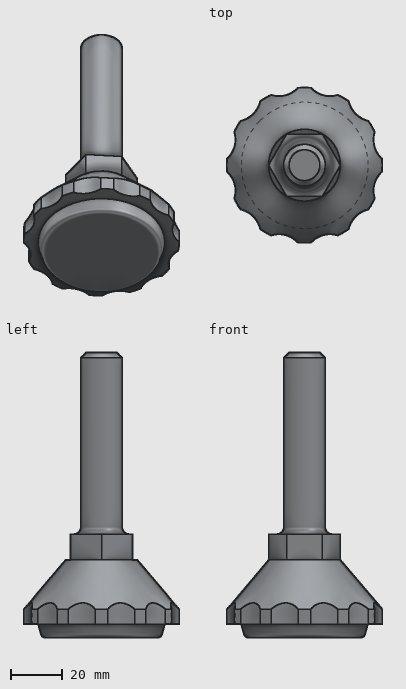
import cadquery as cq
import math

TOTAL_HEIGHT = 110.0
PAD_HEIGHT = 5.3
RIM_HEIGHT = 5.8
BASE_TOP = 30.0
HEX_HEIGHT = 10.0

PAD_TOP_RADIUS = 24.4
PAD_TAPER_ANGLE = 15.0
PAD_BOTTOM_FILLET = 2.2

BASE_DIAMETER = 60.0
SCALLOP_COUNT = 12
SCALLOP_RADIUS = 10.0
SCALLOP_CENTRE_RADIUS = 38.0

HEX_ACROSS_FLATS = 24.0
STUD_DIAMETER = 16.1
STUD_FILLET = 2.5
STUD_TIP_CHAMFER = 2.1

RIM_TOP = PAD_HEIGHT + RIM_HEIGHT
HEX_TOP = BASE_TOP + HEX_HEIGHT
HEX_CORNER_DIAMETER = HEX_ACROSS_FLATS / math.cos(math.radians(30))
PAD_BOTTOM_RADIUS = PAD_TOP_RADIUS - PAD_HEIGHT * math.tan(math.radians(PAD_TAPER_ANGLE))


def make_pad():
    """Disc narrowing towards the floor, with a rounded lower edge."""
    profile = [
        (0, 0),
        (PAD_BOTTOM_RADIUS, 0),
        (PAD_TOP_RADIUS, PAD_HEIGHT),
        (0, PAD_HEIGHT),
    ]
    pad = cq.Workplane("XZ").polyline(profile).close().revolve(360, (0, 0), (0, 1))
    return pad.faces("<Z").edges().fillet(PAD_BOTTOM_FILLET)


def make_base():
    """Cone on a cylindrical rim; its flat top just holds the corners of the hexagon."""
    rim_radius = BASE_DIAMETER / 2
    profile = [
        (0, PAD_HEIGHT),
        (rim_radius, PAD_HEIGHT),
        (rim_radius, RIM_TOP),
        (HEX_CORNER_DIAMETER / 2, BASE_TOP),
        (0, BASE_TOP),
    ]
    base = cq.Workplane("XZ").polyline(profile).close().revolve(360, (0, 0), (0, 1))

    half_pitch = 180 / SCALLOP_COUNT
    scallops = (
        cq.Workplane("XY", origin=(0, 0, PAD_HEIGHT))
        .polarArray(SCALLOP_CENTRE_RADIUS, half_pitch, 360, SCALLOP_COUNT)
        .circle(SCALLOP_RADIUS)
        .extrude(BASE_TOP - PAD_HEIGHT)
    )
    return base.cut(scallops)


def make_stud():
    """Hexagon with two corners on X, and a round shank blended into its top face."""
    hexagon = (
        cq.Workplane("XY", origin=(0, 0, BASE_TOP))
        .polygon(6, HEX_CORNER_DIAMETER)
        .extrude(HEX_HEIGHT)
    )
    stud = (
        hexagon.faces(">Z")
        .workplane()
        .circle(STUD_DIAMETER / 2)
        .extrude(TOTAL_HEIGHT - HEX_TOP)
    )
    stud = stud.faces(">Z").edges().chamfer(STUD_TIP_CHAMFER)
    foot_of_shank = cq.selectors.NearestToPointSelector((0, 0, HEX_TOP))
    return stud.edges("%CIRCLE").edges(foot_of_shank).fillet(STUD_FILLET)


pad = make_pad().solids()
base = make_base().solids()
stud = make_stud().solids()

result = cq.Compound.makeCompound([pad.val(), base.val(), stud.val()])